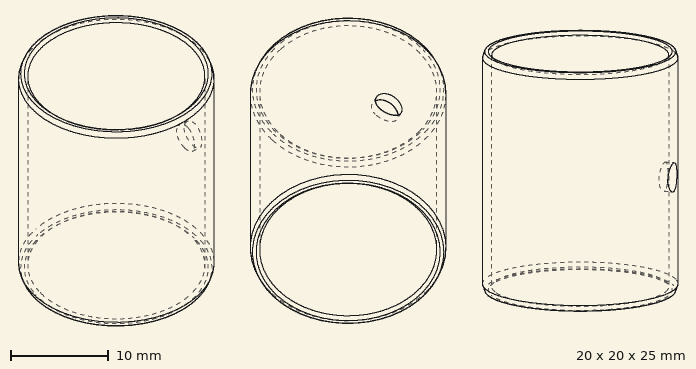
import cadquery as cq

length = 25.0
outer_radius = 10.0
wall = 0.95
lead_in_height = 0.65
lead_in_depth = 0.22
bore_chamfer = 0.35
hole_diameter = 3.0

inner_radius = outer_radius - wall
half_length = length / 2


def bushing_body():
    """Revolve the chamfered wall section about Z, centred on the origin."""
    section = [
        (inner_radius, half_length - bore_chamfer),
        (inner_radius + bore_chamfer, half_length),
        (outer_radius - lead_in_depth, half_length),
        (outer_radius, half_length - lead_in_height),
    ]
    mirrored_section = [(radius, -z) for radius, z in reversed(section)]
    return (
        cq.Workplane("XZ")
        .polyline(section + mirrored_section)
        .close()
        .revolve(360, (0, 0, 0), (0, 1, 0))
    )


def radial_hole():
    """Cylinder from the axis out through the +Y wall at mid-length."""
    reach = outer_radius + wall
    return cq.Workplane("XZ").circle(hole_diameter / 2).extrude(-reach)


result = bushing_body().cut(radial_hole())